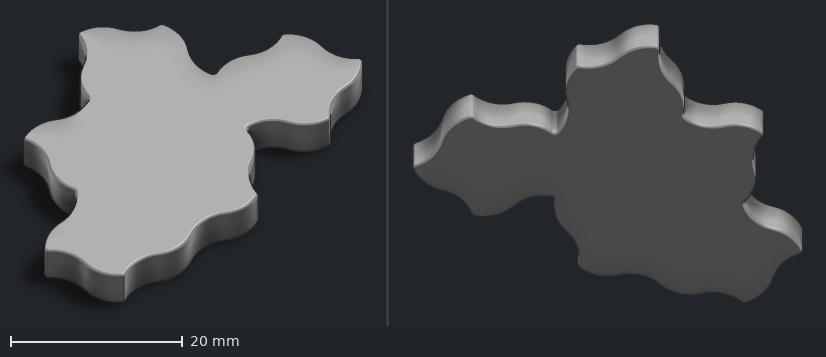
import cadquery as cq
import math

edge_length = 10.0
thickness = 5.0
corner_radius = 0.5
rim_radius = 0.4

arc_chord = edge_length / 2
arc_radius = arc_chord
wave_height = arc_radius - math.sqrt(arc_radius**2 - (arc_chord / 2) ** 2)

edge_headings = [-60, -120, -30, -90, -90, -150, 120, 180, 90, 150, 60, 0, 90, 30]


def add_wavy_edge(sketch, start, heading):
    """Draw one S-shaped edge: an arc swinging outward, then its half-turn copy swinging inward."""
    along = (math.cos(math.radians(heading)), math.sin(math.radians(heading)))
    outward = (-along[1], along[0])

    def point(distance, swing):
        return tuple(start[i] + distance * along[i] + swing * outward[i] for i in range(2))

    middle = point(arc_chord, 0)
    end = point(edge_length, 0)
    sketch = sketch.threePointArc(point(arc_chord / 2, wave_height), middle)
    sketch = sketch.threePointArc(point(arc_chord * 3 / 2, -wave_height), end)
    return sketch, end


def make_tile():
    """Extrude the closed outline of fourteen wavy edges."""
    corner = (0.0, 0.0)
    corners = []
    sketch = cq.Workplane("XY").moveTo(*corner)
    for heading in edge_headings:
        corners.append(corner)
        sketch, corner = add_wavy_edge(sketch, corner, heading)
    tile = sketch.close().extrude(thickness)
    return tile, corners


def round_corners(tile, corners):
    """Round the upright edge at each corner where the outline changes direction."""
    for index, heading in enumerate(edge_headings):
        if heading != edge_headings[index - 1]:
            x, y = corners[index]
            nearest = cq.selectors.NearestToPointSelector((x, y, thickness / 2))
            tile = tile.edges("|Z").edges(nearest).fillet(corner_radius)
    return tile


tile, corners = make_tile()
tile = round_corners(tile, corners)
result = tile.faces("|Z").edges().fillet(rim_radius)